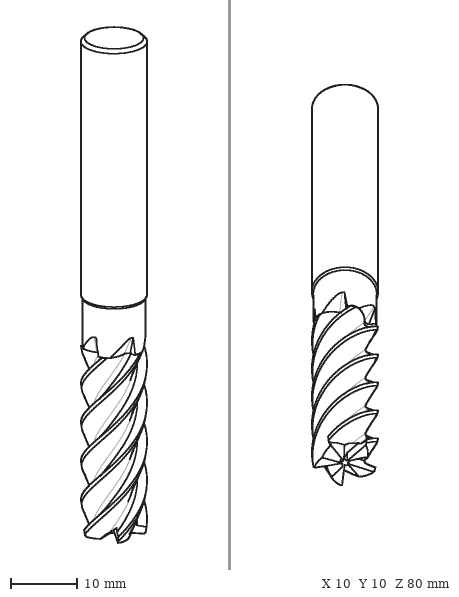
import cadquery as cq
import math

overall_length = 80.0
shank_diameter = 10.0
shank_end_chamfer = 0.6
shank_bottom = 38.4
shoulder_height = 0.4
neck_diameter = 9.5
cutter_length = 30.0

tooth_count = 5
tooth_pitch = 360.0 / tooth_count
helix_angle = 45.0
first_edge_angle = -36.5
land_angle = 9.0
heel_radius = 4.9
back_middle_angle = 34.0
back_middle_radius = 3.9
flute_start_angle = 51.0
flute_start_radius = 3.3
flute_floor_angle = 62.0
flute_floor_radius = 3.1
rake_root_angle = 70.0
rake_root_radius = 3.5
corner_chamfer = 0.4

runout_height = 3.3
runout_steps = 6
runout_start_share = 0.15
runout_end_radius = 4.9
runout_end_width = 0.2

gash_height = 1.8
gash_lead = 13.0
gash_outer_width = 4.8
gash_inner_width = 0.6
gash_inner_radius = 0.5
gash_outer_radius = 5.6

cutter_radius = shank_diameter / 2
neck_radius = neck_diameter / 2
helix_lead = math.pi * shank_diameter / math.tan(math.radians(helix_angle))


def helix_turn(height):
    """Angle in degrees that the teeth turn over a height."""
    return 360.0 * height / helix_lead


def polar(radius, angle):
    """Point at a radius and an angle in degrees."""
    return (radius * math.cos(math.radians(angle)), radius * math.sin(math.radians(angle)))


def tooth_outline():
    """Cross-section of the cutter at the tip: land, tooth back, flute and rake face of each tooth."""
    outline = cq.Workplane("XY").moveTo(*polar(cutter_radius, first_edge_angle))
    for tooth in range(tooth_count):
        edge = first_edge_angle + tooth * tooth_pitch
        outline = (
            outline.lineTo(*polar(heel_radius, edge + land_angle))
            .threePointArc(
                polar(back_middle_radius, edge + back_middle_angle),
                polar(flute_start_radius, edge + flute_start_angle),
            )
            .threePointArc(
                polar(flute_floor_radius, edge + flute_floor_angle),
                polar(rake_root_radius, edge + rake_root_angle),
            )
            .lineTo(*polar(cutter_radius, edge + tooth_pitch))
        )
    return outline.close()


def tip_bevel():
    """Ring that bevels the tooth corners at the tip."""
    clearance = 0.8
    section = [
        (cutter_radius - corner_chamfer - clearance, -clearance),
        (cutter_radius + clearance, -clearance),
        (cutter_radius + clearance, corner_chamfer + clearance),
    ]
    return cq.Workplane("XZ").polyline(section).close().revolve(360, (0, 0, 0), (0, 1, 0))


def gash(edge):
    """Wedge in front of one end tooth: upright against the tooth, narrowing towards the axis."""

    def triangle(width, radius):
        corners = [(0, radius, 0), (0, radius, gash_height), (width, radius, 0)]
        return cq.Wire.makePolygon([cq.Vector(*corner) for corner in corners], close=True)

    wedge = cq.Solid.makeLoft(
        [triangle(gash_inner_width, gash_inner_radius), triangle(gash_outer_width, gash_outer_radius)],
        True,
    )
    return wedge.rotate(cq.Vector(0, 0, 0), cq.Vector(0, 0, 1), edge + gash_lead - 90)


def make_cutter():
    """Helical teeth with a bevelled and gashed tip."""
    cutter = tooth_outline().twistExtrude(cutter_length, helix_turn(cutter_length)).cut(tip_bevel())
    for tooth in range(tooth_count):
        cutter = cutter.cut(cq.Workplane(gash(first_edge_angle + tooth * tooth_pitch)))
    return cutter


def runout_section(step):
    """Flute void at one step of the run-out, shallower and narrower the higher it is."""
    climb = step / runout_steps
    height = cutter_length + climb * runout_height
    share = runout_start_share + (1 - runout_start_share) * climb
    heel_angle = first_edge_angle + land_angle + helix_turn(height)
    width = 1 + (runout_end_width - 1) * share

    def void_point(radius, angle):
        faded_radius = radius + (runout_end_radius - radius) * share
        return polar(faded_radius, heel_angle + (angle - land_angle) * width)

    opening_start = polar(cutter_radius, heel_angle)
    opening_middle = polar(cutter_radius, heel_angle + (tooth_pitch - land_angle) / 2 * width)
    opening_end = polar(cutter_radius, heel_angle + (tooth_pitch - land_angle) * width)
    return (
        cq.Workplane("XY", origin=(0, 0, height))
        .moveTo(*opening_start)
        .threePointArc(
            void_point(back_middle_radius, back_middle_angle),
            void_point(flute_start_radius, flute_start_angle),
        )
        .threePointArc(
            void_point(flute_floor_radius, flute_floor_angle),
            void_point(rake_root_radius, rake_root_angle),
        )
        .lineTo(*opening_end)
        .threePointArc(opening_middle, opening_start)
        .close()
        .val()
    )


def make_shank():
    """Plain shank and neck, with the flutes running out into the neck."""
    shank_radius = shank_diameter / 2
    shank = (
        cq.Workplane("YZ")
        .polyline(
            [
                (0, cutter_length),
                (-neck_radius, cutter_length),
                (-neck_radius, shank_bottom - shoulder_height),
                (-shank_radius, shank_bottom),
                (-shank_radius, overall_length - shank_end_chamfer),
                (-shank_radius + shank_end_chamfer, overall_length),
                (0, overall_length),
            ]
        )
        .close()
        .revolve(360, (0, 0, 0), (0, 1, 0))
    )
    runout = cq.Solid.makeLoft([runout_section(step) for step in range(runout_steps + 1)])
    for tooth in range(tooth_count):
        turned = runout.rotate(cq.Vector(0, 0, 0), cq.Vector(0, 0, 1), tooth * tooth_pitch)
        shank = shank.cut(cq.Workplane(turned))
    return shank


shank = make_shank()
cutter = make_cutter()
result = cq.Compound.makeCompound([*shank.vals(), *cutter.vals()])